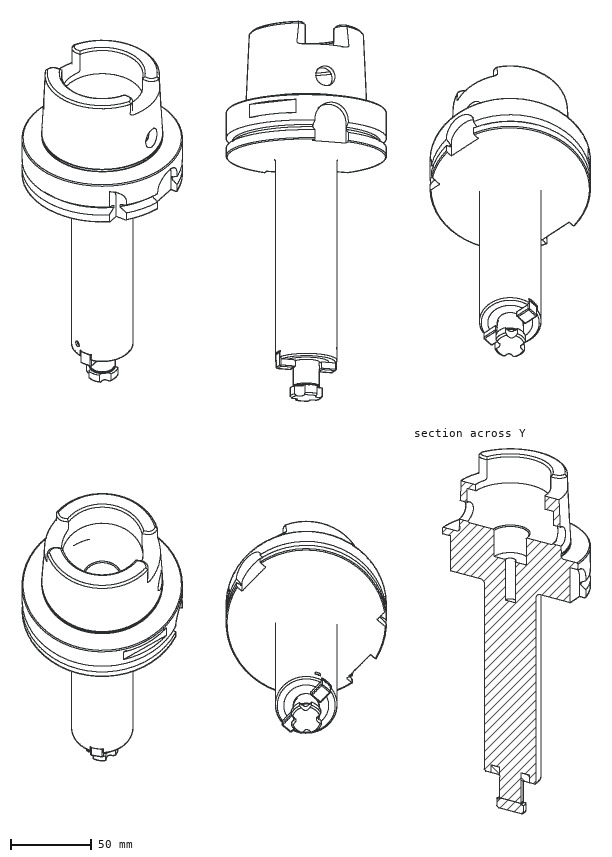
import cadquery as cq

TOP_Z = 233.0
FLANGE_TOP_Z = 183.0
FLANGE_BOTTOM_Z = 154.0
SHANK_END_Z = 22.8
NOSE_END_Z = 7.0

TAPER_TOP_R = 35.6
TAPER_BASE_R = 37.7
TAPER_BASE_Z = 186.0
RIM_CHAMFER = 1.5
BASE_GROOVE_R = 37.3
BASE_FLARE = 1.5

BORE_R = 25.5
BORE_STEP_Z = 213.7
CHAMBER_R = 31.7
BORE_FLOOR_Z = 190.8
CHAMBER_FILLET = 1.9
THREAD_R = 11.6
THREAD_DEPTH = 18.6
THREAD_CHAMFER = 0.7
DUCT_R = 3.5
DUCT_DEPTH = 28.0
CROSS_HOLE_R = 6.3
CROSS_HOLE_Z = 197.8

NOTCH_HALF_WIDTH = 10.0
NOTCH_CORNER_R = 5.5
NOTCH_SHOULDER_X = 32.0
NOTCH_DEPTH_LEFT = 15.0
NOTCH_DEPTH_RIGHT = 10.0
NOTCH_FLOOR_FILLET = 1.6

FLANGE_R = 100.0 / 2
FLANGE_CHAMFER = 0.7
GRIP_GROOVE_R = 46.1
GRIP_GROOVE_TOP_Z = 166.1
GRIP_GROOVE_BOTTOM_Z = 159.8
GRIP_GROOVE_WALL_RISE = 2.0
GRIP_GROOVE_CORNER = 0.7

SLOT_HALF_WIDTH = 11.0
SLOT_FLOOR_X = 44.0
SLOT_TOP_Z = 178.0
INDEX_NOTCH_WALL = 31.2
INDEX_NOTCH_R = 9.8
INDEX_NOTCH_TOP_Z = 178.0
CHIP_FLAT_DISTANCE = 47.3
CHIP_FLAT_HEIGHT = 8.5
CHIP_FLAT_Z = 175.2
CHIP_FLAT_ANGLE = 135

SHANK_R = 38.5 / 2
SHANK_FILLET = 2.5
SHANK_CHAMFER = 1.2
NOSE_R = 8.2
NOSE_CHAMFER = 0.7
NOSE_UNDERCUT_DEPTH = 0.2
NOSE_UNDERCUT_HEIGHT = 2.3

RECESS_ANGLE = -110
RECESS_Z = 31.7
RECESS_R = 1.9
RECESS_DEPTH = 1.5
DOME_R = 1.5
DOME_HEIGHT = 1.0

LUG_WIDTH = 8.2
LUG_OUTER_Y = 18.6
LUG_INNER_Y = 8.6
LUG_TOP_Z = 28.0
LUG_BOTTOM_Z = 18.2
LUG_CHAMFER = 0.7
DRIVER_RING_R = 14.0

HEAD_R = 10.0
HEAD_HEIGHT = 6.3
HEAD_CHAMFER = 1.2
HEAD_ARM_HALF_WIDTH = 4.0
HEAD_ROOT_R = 2.0

BEYOND = 70.0


def cylinder(radius, bottom, top):
    return cq.Workplane("XY").workplane(offset=bottom).circle(radius).extrude(top - bottom)


def flared_cylinder(radius, top, chamfer):
    """Cone that opens a hole's upper rim by a 45 degree chamfer."""
    rim = cq.Workplane("XY").workplane(offset=top - chamfer).circle(radius)
    return rim.workplane(offset=chamfer).circle(radius + chamfer).loft()


def block(x_range, y_range, z_range):
    """Axis-aligned box between pairs of limits."""
    sizes = [high - low for low, high in (x_range, y_range, z_range)]
    return cq.Workplane("XY").box(*sizes, centered=False).translate((x_range[0], y_range[0], z_range[0]))


def turned_body():
    """Taper, flange, shank and nose as one turned profile."""
    groove_wall = FLANGE_R - GRIP_GROOVE_R
    flare_r = TAPER_BASE_R + BASE_FLARE
    undercut_r = NOSE_R - NOSE_UNDERCUT_DEPTH
    undercut_ramp = NOSE_UNDERCUT_HEIGHT / 3
    profile = (
        cq.Workplane("XZ")
        .moveTo(0, TOP_Z)
        .lineTo(TAPER_TOP_R - RIM_CHAMFER, TOP_Z)
        .lineTo(TAPER_TOP_R, TOP_Z - RIM_CHAMFER)
        .lineTo(TAPER_BASE_R, TAPER_BASE_Z)
        .lineTo(BASE_GROOVE_R, TAPER_BASE_Z)
        .lineTo(BASE_GROOVE_R, FLANGE_TOP_Z + BASE_FLARE)
        .lineTo(TAPER_BASE_R, FLANGE_TOP_Z + BASE_FLARE)
        .radiusArc((flare_r, FLANGE_TOP_Z), -BASE_FLARE)
        .lineTo(FLANGE_R - FLANGE_CHAMFER, FLANGE_TOP_Z)
        .lineTo(FLANGE_R, FLANGE_TOP_Z - FLANGE_CHAMFER)
        .lineTo(FLANGE_R, GRIP_GROOVE_TOP_Z)
        .line(-groove_wall, -GRIP_GROOVE_WALL_RISE)
        .lineTo(GRIP_GROOVE_R, GRIP_GROOVE_BOTTOM_Z + GRIP_GROOVE_WALL_RISE + GRIP_GROOVE_CORNER)
        .line(GRIP_GROOVE_CORNER, -GRIP_GROOVE_CORNER)
        .lineTo(FLANGE_R, GRIP_GROOVE_BOTTOM_Z)
        .lineTo(FLANGE_R, FLANGE_BOTTOM_Z + FLANGE_CHAMFER)
        .lineTo(FLANGE_R - FLANGE_CHAMFER, FLANGE_BOTTOM_Z)
        .lineTo(SHANK_R + SHANK_FILLET, FLANGE_BOTTOM_Z)
        .radiusArc((SHANK_R, FLANGE_BOTTOM_Z - SHANK_FILLET), -SHANK_FILLET)
        .lineTo(SHANK_R, SHANK_END_Z + SHANK_CHAMFER)
        .lineTo(SHANK_R - SHANK_CHAMFER, SHANK_END_Z)
        .lineTo(NOSE_R, SHANK_END_Z)
        .lineTo(undercut_r, SHANK_END_Z - undercut_ramp)
        .lineTo(undercut_r, SHANK_END_Z - NOSE_UNDERCUT_HEIGHT + undercut_ramp)
        .lineTo(NOSE_R, SHANK_END_Z - NOSE_UNDERCUT_HEIGHT)
        .lineTo(NOSE_R, NOSE_END_Z + NOSE_CHAMFER)
        .lineTo(NOSE_R - NOSE_CHAMFER, NOSE_END_Z)
        .lineTo(0, NOSE_END_Z)
        .close()
    )
    return profile.revolve(360, (0, 0, 0), (0, 1, 0))


def bore_cut():
    """Stepped bore with a wider chamber, threaded hole in its floor and the narrow duct below."""
    thread_end = BORE_FLOOR_Z - THREAD_DEPTH
    mouth = cylinder(BORE_R, BORE_STEP_Z, TOP_Z).union(flared_cylinder(BORE_R, TOP_Z, RIM_CHAMFER))
    chamber = cylinder(CHAMBER_R, BORE_FLOOR_Z, BORE_STEP_Z)
    chamber = chamber.faces("<Z").edges().fillet(CHAMBER_FILLET)
    thread = cylinder(THREAD_R, thread_end, BORE_FLOOR_Z)
    lead_in = flared_cylinder(THREAD_R, BORE_FLOOR_Z, THREAD_CHAMFER)
    duct = cylinder(DUCT_R, thread_end - DUCT_DEPTH, thread_end)
    return mouth.union(chamber).union(thread).union(lead_in).union(duct)


def rim_notch_outline(bottom):
    """Outline of the -X driving notch; its walls end in rounded corners."""
    corner_y = NOTCH_HALF_WIDTH + NOTCH_CORNER_R
    straight_end = NOTCH_SHOULDER_X - NOTCH_CORNER_R
    return (
        cq.Workplane("XY")
        .workplane(offset=bottom)
        .moveTo(0, NOTCH_HALF_WIDTH)
        .lineTo(-straight_end, NOTCH_HALF_WIDTH)
        .radiusArc((-NOTCH_SHOULDER_X, corner_y), NOTCH_CORNER_R)
        .lineTo(-NOTCH_SHOULDER_X, BEYOND)
        .lineTo(-BEYOND, BEYOND)
        .lineTo(-BEYOND, -BEYOND)
        .lineTo(-NOTCH_SHOULDER_X, -BEYOND)
        .lineTo(-NOTCH_SHOULDER_X, -corner_y)
        .radiusArc((-straight_end, -NOTCH_HALF_WIDTH), NOTCH_CORNER_R)
        .lineTo(0, -NOTCH_HALF_WIDTH)
        .close()
    )


def rim_notch_cut(depth):
    """Driving notch on the -X side with filleted floor edges and chamfered upper edges."""
    notch = rim_notch_outline(TOP_Z - depth).extrude(depth)
    notch = notch.faces("<Z").edges().fillet(NOTCH_FLOOR_FILLET)
    flare = rim_notch_outline(TOP_Z - RIM_CHAMFER).extrude(RIM_CHAMFER, taper=-45)
    return notch.union(flare)


def arched_slot_cut(floor_x, center_y, half_width, top_z):
    """Slot with a round top and a floor at floor_x, open toward +X and -Z."""
    spring_z = top_z - half_width
    x_range = (floor_x, BEYOND)
    y_range = (center_y - half_width, center_y + half_width)
    arch = (
        cq.Workplane("YZ")
        .workplane(offset=floor_x)
        .center(center_y, spring_z)
        .circle(half_width)
        .extrude(BEYOND - floor_x)
    )
    return block(x_range, y_range, (FLANGE_BOTTOM_Z, spring_z)).union(arch)


def chip_flat_cut():
    """Flat pocket in the flange rim, facing the -X +Y diagonal."""
    pocket = block(
        (CHIP_FLAT_DISTANCE, BEYOND),
        (-BEYOND, BEYOND),
        (CHIP_FLAT_Z - CHIP_FLAT_HEIGHT / 2, CHIP_FLAT_Z + CHIP_FLAT_HEIGHT / 2),
    )
    return pocket.rotate((0, 0, 0), (0, 0, 1), CHIP_FLAT_ANGLE)


def domed_recess_cut():
    """Round recess in the side of the shank, with a spherical dome left standing on its floor."""
    floor_x = SHANK_R - RECESS_DEPTH
    sphere_r = (DOME_R**2 + DOME_HEIGHT**2) / (2 * DOME_HEIGHT)
    profile = (
        cq.Workplane("XZ")
        .moveTo(floor_x + DOME_HEIGHT, 0)
        .radiusArc((floor_x, DOME_R), -sphere_r)
        .lineTo(floor_x, RECESS_R)
        .lineTo(SHANK_R + RECESS_DEPTH, RECESS_R)
        .lineTo(SHANK_R + RECESS_DEPTH, 0)
        .close()
    )
    cut = profile.revolve(360, (0, 0, 0), (1, 0, 0))
    return cut.rotate((0, 0, 0), (0, 0, 1), RECESS_ANGLE).translate((0, 0, RECESS_Z))


def make_holder():
    cross_hole = (
        cq.Workplane("YZ")
        .center(0, CROSS_HOLE_Z)
        .circle(CROSS_HOLE_R)
        .extrude(BEYOND, both=True)
    )
    key_slot = arched_slot_cut(SLOT_FLOOR_X, 0, SLOT_HALF_WIDTH, SLOT_TOP_Z)
    index_notch_y = -INDEX_NOTCH_WALL - INDEX_NOTCH_R

    body = turned_body().cut(bore_cut())
    body = body.cut(rim_notch_cut(NOTCH_DEPTH_LEFT))
    body = body.cut(rim_notch_cut(NOTCH_DEPTH_RIGHT).mirror("YZ"))
    body = body.cut(cross_hole)
    body = body.cut(key_slot).cut(key_slot.mirror("YZ"))
    body = body.cut(arched_slot_cut(INDEX_NOTCH_WALL, index_notch_y, INDEX_NOTCH_R, INDEX_NOTCH_TOP_Z))
    body = body.cut(chip_flat_cut())
    body = body.cut(domed_recess_cut())
    return body.cut(driver_recess_cut())


def lug_block(outer_y):
    """Block on the +Y side as wide and tall as a lug, from the lug's inner face to outer_y."""
    return block((-LUG_WIDTH / 2, LUG_WIDTH / 2), (LUG_INNER_Y, outer_y), (LUG_BOTTOM_Z, LUG_TOP_Z))


def ring_with_lugs(lug):
    """Ring around the nose, joined to the given lug and to its copy on the -Y side."""
    ring = cylinder(DRIVER_RING_R, SHANK_END_Z, LUG_TOP_Z)
    return ring.union(lug).union(lug.mirror("XZ")).cut(cylinder(NOSE_R, 0, LUG_TOP_Z))


def make_driver():
    lug = lug_block(LUG_OUTER_Y)
    return ring_with_lugs(lug.edges("<Z or >Y").chamfer(LUG_CHAMFER))


def driver_recess_cut():
    """Recess in the shank end: the driver's shape with the lug slots open to the side."""
    return ring_with_lugs(lug_block(BEYOND))


def make_screw():
    """Cross-shaped screw head below the nose."""
    collar = cylinder(NOSE_R, HEAD_HEIGHT, NOSE_END_Z)
    head = cylinder(HEAD_R, 0, HEAD_HEIGHT).faces("<Z").chamfer(HEAD_CHAMFER)
    gap = (
        block((HEAD_ARM_HALF_WIDTH, BEYOND), (HEAD_ARM_HALF_WIDTH, BEYOND), (0, HEAD_HEIGHT))
        .edges("|Z and <X and <Y")
        .fillet(HEAD_ROOT_R)
    )
    for turn in range(4):
        head = head.cut(gap.rotate((0, 0, 0), (0, 0, 1), 90 * turn))
    return head.union(collar)


driver = make_driver()
holder = make_holder()
screw = make_screw()

result = cq.Compound.makeCompound([body.solids().val() for body in (holder, driver, screw)])